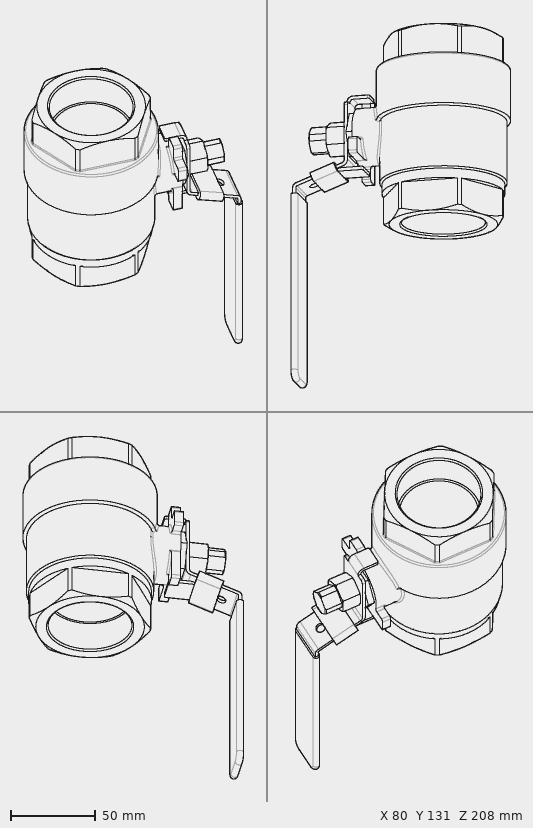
import cadquery as cq
import math


TOP_FACE = 58.0
BOTTOM_FACE = -57.2
TOP_HEX_LENGTH = 19.5
BOTTOM_HEX_LENGTH = 18.7
HEX_FLATS = 64.7
HEX_END_ANGLE = 30.0
HEX_ROOT_FILLET = 0.6
SHOULDER_DIAMETER = 80.0
SHOULDER_END = 6.9
SHOULDER_ROUND = 1.0
STEP_DROP = 1.0
BARREL_DIAMETER = 76.0
BARREL_END = -31.6
COLLAR_DIAMETER = 73.2
PORT_DIAMETER = 50.0
PORT_MOUTH_DIAMETER = 52.0
PORT_DEPTH = 19.5
BORE_DIAMETER = 47.0

BONNET_DIAMETER = 35.0
BONNET_ROOT = 31.2
BONNET_FACE = 51.8
BONNET_FILLET = 1.7
LUG_WIDTH = 10.0
LUG_REACH = 25.5
LUG_OFFSET = 11.0
LUG_THICKNESS = 5.5
LUG_TIP_RADIUS = 1.5
LUG_ROOT_FILLET = 1.2
GLAND_FLATS = 26.6

NUT_FLATS = 18.3
NUT_LENGTH = 11.9
NUT_CHAMFER = 0.6
STEM_TIP_DIAMETER = 16.2
STEM_TIP_FLATS = 14.0
STEM_END = 81.0
STEM_TIP_CHAMFER = 0.6
SHANK_DIAMETER = 10.2

STRIP_THICKNESS = 2.0
STRIP_WIDTH = 23.3
PLATE_CENTRE = 57.0
STOP_TAB_WIDTH = 12.0
STOP_TAB_CENTRE = 23.5
STOP_TAB_TIP = 44.0
STOP_TAB_CORNER = 1.0
PLATE_TOP = 20.0
PLATE_CORNER = 2.0
ARM_START = -18.0
ARM_ANGLE = 20.0
BEND_RADIUS = 3.1
GRIP_BEND_RADIUS = 2.3
ARM_HOLE_DIAMETER = 5.8
ARM_HOLE_CENTRE = 79.7
GRIP_WIDTH = 25.8
GRIP_THICKNESS = 4.4
GRIP_BACK = 91.0
GRIP_TOP = -34.7
OVERALL_HEIGHT = 208.0
GRIP_CORNER = 6.2

SLEEVE_THICKNESS = 5.8
SLEEVE_WIDTH = 30.4
SLEEVE_LENGTH = 15.5
SLEEVE_CENTRE = 70.3
LOCK_TAB_TIP = 46.8
LOCK_TAB_ROOT = 64.5
LOCK_TAB_LEFT = -10.6
LOCK_TAB_CENTRE = -21.6
LOCK_TAB_CORNER = 1.0

TOP_HEX_BASE = TOP_FACE - TOP_HEX_LENGTH
BOTTOM_HEX_BASE = BOTTOM_FACE + BOTTOM_HEX_LENGTH
GRIP_BOTTOM = TOP_FACE - OVERALL_HEIGHT
PLATE_FRONT = PLATE_CENTRE - STRIP_THICKNESS / 2
PLATE_BACK = PLATE_CENTRE + STRIP_THICKNESS / 2
NUT_END = PLATE_BACK + NUT_LENGTH
GRIP_CENTRE = GRIP_BACK - GRIP_THICKNESS / 2
ARM_SLOPE = math.tan(math.radians(ARM_ANGLE))


def hex_corners(flats):
    """Distance across the corners of a hexagon."""
    return flats / math.cos(math.radians(30))


def arm_height(y):
    """Z of the middle of the sloping arm at a given Y."""
    return ARM_START - (y - PLATE_CENTRE) * ARM_SLOPE


def along_stem(y):
    """Workplane facing +Y at the given height on the stem; local x is +X and local y is -Z."""
    return cq.Workplane("XZ", origin=(0, y, 0)).transformed(rotate=(180, 0, 0))


def revolved(points):
    """Solid turned about Z from an outline of (radius, Z) points."""
    return cq.Workplane("XZ").polyline(points).close().revolve(360, (0, 0), (0, 1))


def end_hexagon(face_distance):
    """Hexagon from the origin up to a +Z end face, its corners turned off and its end coned."""
    hexagon = (
        cq.Workplane("XY").polygon(6, hex_corners(HEX_FLATS)).extrude(face_distance)
        .rotate((0, 0, 0), (0, 0, 1), 30)
    )
    flat_radius = HEX_FLATS / 2
    corner_radius = COLLAR_DIAMETER / 2
    cone_drop = (corner_radius - flat_radius) * math.tan(math.radians(HEX_END_ANGLE))
    turned = revolved([
        (0, 0), (corner_radius, 0), (corner_radius, face_distance - cone_drop),
        (flat_radius, face_distance), (0, face_distance),
    ])
    return hexagon.intersect(turned)


def barrel():
    """Turned middle of the housing: shoulder, barrel and collar."""
    shoulder = SHOULDER_DIAMETER / 2
    middle = BARREL_DIAMETER / 2
    collar = COLLAR_DIAMETER / 2
    return revolved([
        (0, TOP_HEX_BASE), (shoulder, TOP_HEX_BASE), (shoulder, SHOULDER_END),
        (middle, SHOULDER_END - STEP_DROP), (middle, BARREL_END),
        (collar, BARREL_END - STEP_DROP), (collar, BOTTOM_HEX_BASE), (0, BOTTOM_HEX_BASE),
    ]).faces(">Z").edges().fillet(SHOULDER_ROUND)


def bore():
    """Through bore with a wider, chamfered port at each end."""
    mouth = PORT_MOUTH_DIAMETER / 2
    port = PORT_DIAMETER / 2
    inner = BORE_DIAMETER / 2
    mouth_drop = mouth - port
    return revolved([
        (0, BOTTOM_FACE), (mouth, BOTTOM_FACE), (port, BOTTOM_FACE + mouth_drop),
        (port, BOTTOM_FACE + PORT_DEPTH), (inner, BOTTOM_FACE + PORT_DEPTH),
        (inner, TOP_FACE - PORT_DEPTH), (port, TOP_FACE - PORT_DEPTH),
        (port, TOP_FACE - mouth_drop), (mouth, TOP_FACE), (0, TOP_FACE),
    ])


def stop_lugs():
    """Four lugs on the bonnet that stop the handle, each offset to one side of the stem axis."""
    lug_bottom = BONNET_FACE - LUG_THICKNESS
    upper = (
        cq.Workplane("XY")
        .box(LUG_WIDTH, LUG_THICKNESS, LUG_REACH, centered=(True, False, False))
        .edges("|Y and >Z").fillet(LUG_TIP_RADIUS)
        .translate((LUG_OFFSET, lug_bottom, 0))
    )
    lower = upper.mirror("XY")
    left = lower.rotate((0, 0, 0), (0, 1, 0), 90)
    right = left.rotate((0, 0, 0), (0, 1, 0), 180)
    return upper.union(lower).union(left).union(right)


def bonnet():
    """Round neck round the stem, with the stop lugs filleted to it."""
    neck_radius = BONNET_DIAMETER / 2
    neck = along_stem(BONNET_ROOT).circle(neck_radius).extrude(BONNET_FACE - BONNET_ROOT)
    reach = neck_radius + LUG_ROOT_FILLET
    around_roots = cq.selectors.BoxSelector(
        (-reach, BONNET_FACE - LUG_THICKNESS - LUG_ROOT_FILLET, -reach),
        (reach, BONNET_FACE + LUG_ROOT_FILLET, reach),
        boundingbox=True,
    )
    face_edges = cq.selectors.StringSyntaxSelector(">Y")
    return neck.union(stop_lugs()).edges(around_roots - face_edges).fillet(LUG_ROOT_FILLET)


def gland():
    return along_stem(BONNET_FACE).polygon(6, hex_corners(GLAND_FLATS)).extrude(PLATE_FRONT - BONNET_FACE)


def make_housing():
    hex_reach = COLLAR_DIAMETER / 2 + HEX_ROOT_FILLET
    hex_root = cq.selectors.BoxSelector(
        (-hex_reach, -hex_reach, TOP_HEX_BASE - HEX_ROOT_FILLET),
        (hex_reach, hex_reach, TOP_HEX_BASE + HEX_ROOT_FILLET),
        boundingbox=True,
    )
    bonnet_reach = BONNET_DIAMETER / 2 + BONNET_FILLET
    bonnet_root = cq.selectors.BoxSelector(
        (-bonnet_reach, BONNET_ROOT, -bonnet_reach),
        (bonnet_reach, SHOULDER_DIAMETER / 2 + BONNET_FILLET, bonnet_reach),
        boundingbox=True,
    )
    shell = barrel().union(end_hexagon(TOP_FACE)).edges(hex_root).fillet(HEX_ROOT_FILLET)
    shell = shell.union(end_hexagon(-BOTTOM_FACE).mirror("XY"))
    shell = shell.union(bonnet()).edges(bonnet_root).fillet(BONNET_FILLET)
    return shell.union(gland()).cut(bore())


def make_stem_nut():
    """Hexagon nut with a square tip on its outer end and a shank through the handle."""
    corner_radius = hex_corners(NUT_FLATS) / 2
    hexagon = along_stem(PLATE_BACK).polygon(6, 2 * corner_radius).extrude(NUT_LENGTH)
    hexagon = hexagon.rotate((0, 0, 0), (0, 1, 0), 30)
    turned = along_stem(PLATE_BACK).circle(corner_radius).extrude(NUT_LENGTH)
    nut = hexagon.intersect(turned.faces("<Y or >Y").chamfer(NUT_CHAMFER))
    square = along_stem(NUT_END).rect(STEM_TIP_FLATS, STEM_TIP_FLATS).extrude(STEM_END - NUT_END)
    square = square.rotate((0, 0, 0), (0, 1, 0), 45)
    round_tip = (
        along_stem(NUT_END).circle(STEM_TIP_DIAMETER / 2).extrude(STEM_END - NUT_END)
        .faces(">Y").chamfer(STEM_TIP_CHAMFER)
    )
    tip = square.intersect(round_tip)
    shank = along_stem(PLATE_FRONT).circle(SHANK_DIAMETER / 2).extrude(STRIP_THICKNESS)
    return nut.union(tip).union(shank)


def rounded_path(points, radii):
    """Open path in the YZ plane whose inner corners are rounded with the given radii."""
    path = cq.Workplane("YZ").moveTo(*points[0])
    for before, corner, after, radius in zip(points, points[1:], points[2:], radii):
        corner_v = cq.Vector(*corner)
        back = (cq.Vector(*before) - corner_v).normalized()
        ahead = (cq.Vector(*after) - corner_v).normalized()
        half_angle = back.getAngle(ahead) / 2
        tangent_length = radius / math.tan(half_angle)
        start = corner_v + back * tangent_length
        end = corner_v + ahead * tangent_length
        middle_distance = radius / math.sin(half_angle) - radius
        middle = corner_v + (back + ahead).normalized() * middle_distance
        path = path.lineTo(start.x, start.y).threePointArc((middle.x, middle.y), (end.x, end.y))
    return path.lineTo(*points[-1])


def strip():
    """Bent strip of the handle: stop tab, plate, sloping arm and the run into the grip."""
    path = rounded_path(
        [
            (STOP_TAB_TIP, STOP_TAB_CENTRE), (PLATE_CENTRE, STOP_TAB_CENTRE), (PLATE_CENTRE, ARM_START),
            (GRIP_CENTRE, arm_height(GRIP_CENTRE)), (GRIP_CENTRE, GRIP_TOP - GRIP_THICKNESS),
        ],
        [BEND_RADIUS, BEND_RADIUS, GRIP_BEND_RADIUS],
    )
    bent = (
        cq.Workplane("XZ", origin=(0, STOP_TAB_TIP, STOP_TAB_CENTRE))
        .rect(STRIP_WIDTH, STRIP_THICKNESS).sweep(path)
    )
    depth = GRIP_BACK
    below = (
        cq.Workplane("XY")
        .box(STRIP_WIDTH, depth, PLATE_TOP - GRIP_BOTTOM, centered=(True, False, False))
        .translate((0, 0, GRIP_BOTTOM))
        .edges("|Y and >Z").fillet(PLATE_CORNER)
    )
    tab = (
        cq.Workplane("XY")
        .box(STOP_TAB_WIDTH, depth, 2 * STOP_TAB_CENTRE, centered=(True, False, False))
        .translate((0, STOP_TAB_TIP, 0))
        .edges("|Z and <Y").fillet(STOP_TAB_CORNER)
    )
    return bent.intersect(below.union(tab))


def grip():
    """Flat grip with fully rounded edges and rounded lower corners."""
    edge_radius = GRIP_THICKNESS / 2
    half_core = GRIP_WIDTH / 2 - edge_radius
    core_bottom = GRIP_BOTTOM + edge_radius
    core_corner = GRIP_CORNER - edge_radius
    middle_plane = cq.Workplane("XZ", origin=(0, GRIP_CENTRE, 0))
    rim_path = (
        middle_plane.moveTo(-half_core, GRIP_TOP).lineTo(-half_core, core_bottom + core_corner)
        .radiusArc((-half_core + core_corner, core_bottom), -core_corner)
        .lineTo(half_core - core_corner, core_bottom)
        .radiusArc((half_core, core_bottom + core_corner), -core_corner)
        .lineTo(half_core, GRIP_TOP)
    )
    rim = cq.Workplane("XY", origin=(-half_core, GRIP_CENTRE, GRIP_TOP)).circle(edge_radius).sweep(rim_path)
    core = (
        cq.Workplane("XY", origin=(0, GRIP_CENTRE, core_bottom))
        .box(2 * half_core, GRIP_THICKNESS, GRIP_TOP - core_bottom, centered=(True, True, False))
        .edges("|Y and <Z").fillet(core_corner)
    )
    return core.union(rim)


def make_handle():
    stem_hole = along_stem(PLATE_FRONT).circle(SHANK_DIAMETER / 2).extrude(STRIP_THICKNESS)
    arm_hole = (
        cq.Workplane("XY").circle(ARM_HOLE_DIAMETER / 2).extrude(2 * STRIP_THICKNESS, both=True)
        .rotate((0, 0, 0), (1, 0, 0), -ARM_ANGLE)
        .translate((0, ARM_HOLE_CENTRE, arm_height(ARM_HOLE_CENTRE)))
    )
    return strip().union(grip()).cut(stem_hole).cut(arm_hole)


def make_lock_slide(arm):
    """Sleeve with rounded sides that fits round the arm, with a tab beside the lower lug."""
    sleeve = (
        cq.Workplane("XZ").slot2D(SLEEVE_WIDTH, SLEEVE_THICKNESS).extrude(SLEEVE_LENGTH / 2, both=True)
        .rotate((0, 0, 0), (1, 0, 0), -ARM_ANGLE)
        .translate((0, SLEEVE_CENTRE, arm_height(SLEEVE_CENTRE)))
    )
    tab_right = LUG_OFFSET - LUG_WIDTH / 2
    tab = (
        cq.Workplane("XY")
        .box(tab_right - LOCK_TAB_LEFT, LOCK_TAB_ROOT - LOCK_TAB_TIP, STRIP_THICKNESS,
             centered=(False, False, True))
        .edges("|Z and <Y").fillet(LOCK_TAB_CORNER)
        .translate((LOCK_TAB_LEFT, LOCK_TAB_TIP, LOCK_TAB_CENTRE))
    )
    return sleeve.union(tab).cut(arm)


housing = make_housing()
stem_nut = make_stem_nut()
handle = make_handle()
lock_slide = make_lock_slide(handle)

result = cq.Compound.makeCompound([
    housing.solids().val(),
    stem_nut.solids().val(),
    handle.solids().val(),
    lock_slide.solids().val(),
])